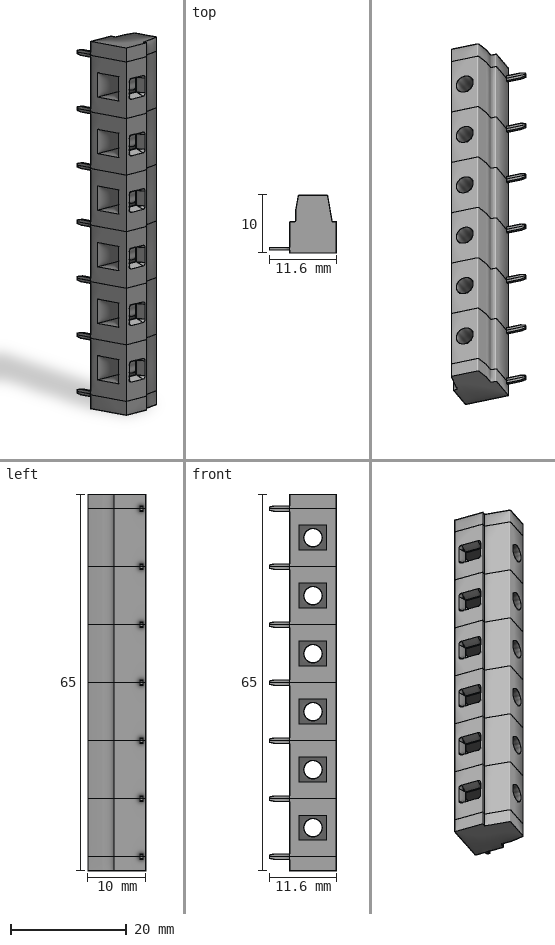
import cadquery as cq

cell_count = 6
total_height = 65.0
pitch = 10.0
end_height = (total_height - cell_count * pitch) / 2

base_width = 8.05
depth = 10.0
shoulder_y = 5.45
left_shoulder = 1.05
right_shoulder = 0.7
left_wall_top_y = 7.5
top_inset = 1.5
top_fillet = 0.25
shoulder_fillet = 0.2
edge_margin = 0.05

pocket_width = 4.75
pocket_height = 4.3
pocket_depth = 5.85
pocket_x = 3.95
rear_hole_x = base_width / 2
rear_hole_diameter = 3.1
window_length = 3.1
window_height = 2.6
window_throat = 0.25
window_flare_angle = 20.0

pin_length = 3.5
pin_width = 1.0
pin_thickness = 0.49
pin_y = 0.5
pin_tip_width = 0.6
pin_tip_length = 0.85


def housing_block(height):
    """Stepped and tapered housing section from Z = 0, rounded at its rear and its left step."""
    block = (
        cq.Workplane("XY")
        .moveTo(0, 0)
        .lineTo(base_width, 0)
        .lineTo(base_width, shoulder_y)
        .lineTo(base_width - right_shoulder, shoulder_y)
        .lineTo(base_width - top_inset, depth)
        .lineTo(top_inset, depth)
        .lineTo(left_shoulder, left_wall_top_y)
        .lineTo(left_shoulder, shoulder_y)
        .lineTo(0, shoulder_y)
        .close()
        .extrude(height)
    )
    block = block.faces(">Y").edges("|Z").fillet(top_fillet)
    left_step = cq.selectors.BoxSelector(
        (-edge_margin, shoulder_y - edge_margin, 0),
        (left_shoulder + edge_margin, shoulder_y + edge_margin, height),
    )
    return block.edges("|Z").edges(left_step).fillet(shoulder_fillet)


def half_pin(joint_z, side):
    """Half of a pin at the joint height; side is +1 above the joint and -1 below it."""
    half_width = side * pin_width / 2
    half_tip = side * pin_tip_width / 2
    return (
        cq.Workplane("XZ", origin=(0, pin_y, joint_z))
        .moveTo(0, 0)
        .lineTo(0, half_width)
        .lineTo(pin_tip_length - pin_length, half_width)
        .lineTo(-pin_length, half_tip)
        .lineTo(-pin_length, 0)
        .close()
        .extrude(-pin_thickness)
    )


def side_window(mid_z):
    """Window from the pocket through the +X wall: a straight throat that flares outward."""
    throat_x = pocket_x + pocket_width / 2
    flare_x = throat_x + window_throat
    centre_y = pocket_depth / 2
    throat = (
        cq.Workplane("YZ", origin=(throat_x, centre_y, mid_z))
        .rect(window_length, window_height)
        .extrude(window_throat)
    )
    flare = (
        cq.Workplane("YZ", origin=(flare_x, centre_y, mid_z))
        .rect(window_length, window_height)
        .extrude(base_width - flare_x, taper=-window_flare_angle)
    )
    return throat.union(flare)


def cell_cavity():
    """Pocket and holes of one cell, centred on the height of the cell."""
    mid_z = pitch / 2
    pocket = (
        cq.Workplane("XZ", origin=(pocket_x, 0, mid_z))
        .rect(pocket_width, pocket_height)
        .extrude(-pocket_depth)
    )
    rear_hole = (
        cq.Workplane("XZ", origin=(rear_hole_x, 0, mid_z))
        .circle(rear_hole_diameter / 2)
        .extrude(-depth)
    )
    return pocket.union(rear_hole).union(side_window(mid_z))


def make_cell():
    """Terminal cell with half a pin at its lower and at its upper joint."""
    return (
        housing_block(pitch)
        .cut(cell_cavity())
        .union(half_pin(0, 1))
        .union(half_pin(pitch, -1))
    )


def make_lower_end():
    """Plain end plate that carries the lower half of the first pin."""
    return housing_block(end_height).union(half_pin(end_height, -1))


def make_upper_end():
    """Plain end plate that carries the upper half of the last pin."""
    return housing_block(end_height).union(half_pin(0, 1))


lower_end = make_lower_end()
cells = [
    make_cell().translate((0, 0, end_height + index * pitch))
    for index in range(cell_count)
]
upper_end = make_upper_end().translate((0, 0, total_height - end_height))

result = cq.Compound.makeCompound(
    [lower_end.val(), *[cell.val() for cell in cells], upper_end.val()]
)